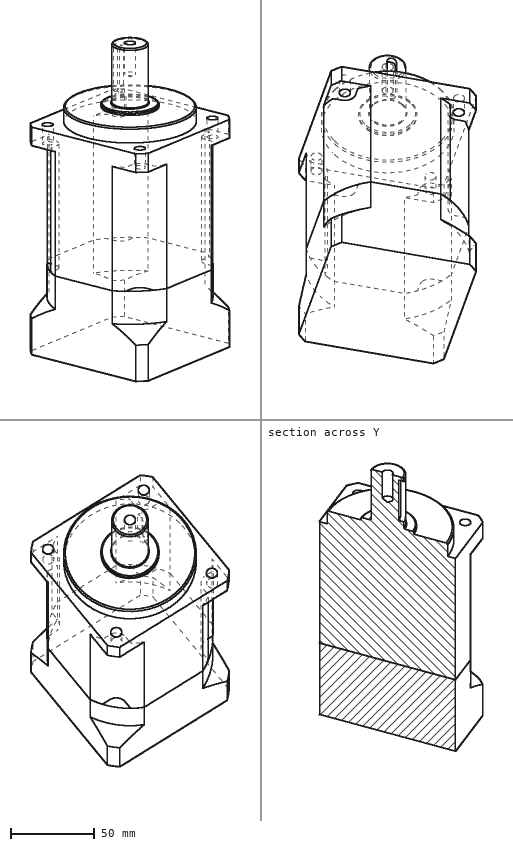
import cadquery as cq
import math

total_height = 195.0
side = 90.0
corner_radius = 60.0

base_corner_height = 23.2
neck_bottom = 33.0
adapter_height = 54.0
neck_flat_width = 43.5
neck_radius = math.hypot(side, neck_flat_width) / 2

flange_top = 145.0
flange_thickness = 11.9
bolt_circle_radius = neck_radius
bolt_hole_diameter = 6.6
bolt_relief_radius = 6.6
relief_lip_fillet = 1.5

pilot_diameter = 80.0
pilot_height = 9.8
pilot_chamfer = 1.0
seal_diameter = 35.1
seal_height = 2.0
seal_chamfer = 0.8
collar_diameter = 23.0
collar_height = 0.5

shaft_diameter = 22.0
shaft_chamfer = 1.0
keyway_width = 5.8
keyway_bottom = 162.0
keyway_top = 192.0
keyway_depth = 3.5
centre_hole_diameter = 6.6
centre_hole_depth = 19.5
drill_point_angle = 118.0

pilot_top = flange_top + pilot_height
seal_top = pilot_top + seal_height
bolt_offset = bolt_circle_radius / math.sqrt(2)


def disc(diameter, bottom, height):
    """Upright cylinder on the Z axis."""
    return cq.Workplane("XY").workplane(offset=bottom).circle(diameter / 2).extrude(height)


def trimmed_square(radius, bottom, height):
    """Square block whose four corners are rounded off about the Z axis."""
    block = cq.Workplane("XY").workplane(offset=bottom).rect(side, side).extrude(height)
    return block.intersect(disc(2 * radius, bottom, height))


def make_adapter():
    """Square base whose corners taper conically up to a narrower neck."""
    round_envelope = (
        cq.Workplane("XZ")
        .moveTo(0, 0)
        .lineTo(corner_radius, 0)
        .lineTo(corner_radius, base_corner_height)
        .lineTo(neck_radius, neck_bottom)
        .lineTo(neck_radius, adapter_height)
        .lineTo(0, adapter_height)
        .close()
        .revolve(360, (0, 0), (0, 1))
    )
    block = cq.Workplane("XY").rect(side, side).extrude(adapter_height)
    return block.intersect(round_envelope)


def make_bolt_relief(height):
    """Corner relief open towards +X and +Y, with a quarter round about the bolt axis."""
    inner = bolt_offset - bolt_relief_radius
    arc_shift = bolt_relief_radius / math.sqrt(2)
    outer = side / 2
    return (
        cq.Workplane("XY")
        .workplane(offset=adapter_height)
        .moveTo(inner, outer)
        .lineTo(inner, bolt_offset)
        .threePointArc((bolt_offset - arc_shift, bolt_offset - arc_shift), (bolt_offset, inner))
        .lineTo(outer, inner)
        .lineTo(outer, outer)
        .close()
        .extrude(height)
    )


def round_relief_lips(case, middle_height):
    """Fillet the two upright edges where each corner relief meets the neck round."""
    near = bolt_offset - bolt_relief_radius
    far = math.sqrt(neck_radius**2 - near**2)
    for x_sign in (-1, 1):
        for y_sign in (-1, 1):
            for x, y in ((near, far), (far, near)):
                lip = cq.selectors.NearestToPointSelector((x_sign * x, y_sign * y, middle_height))
                case = case.edges("|Z").edges(lip).fillet(relief_lip_fillet)
    return case


def make_gear_case():
    """Case with a relief in each corner, below the mounting flange with its bolt holes."""
    flange_bottom = flange_top - flange_thickness
    case_height = flange_bottom - adapter_height
    case = trimmed_square(neck_radius, adapter_height, case_height)
    relief = make_bolt_relief(case_height)
    for corner in range(4):
        case = case.cut(relief.rotate((0, 0, 0), (0, 0, 1), 90 * corner))
    case = round_relief_lips(case, adapter_height + case_height / 2)

    flange = (
        trimmed_square(corner_radius, flange_bottom, flange_thickness)
        .faces(">Z")
        .workplane(origin=(0, 0, flange_top))
        .rect(2 * bolt_offset, 2 * bolt_offset, forConstruction=True)
        .vertices()
        .hole(bolt_hole_diameter)
    )
    return case.union(flange)


def make_nose():
    """Centring pilot, seal ring and shaft collar stacked on the flange."""
    pilot = disc(pilot_diameter, flange_top, pilot_height).faces(">Z").chamfer(pilot_chamfer)
    seal = disc(seal_diameter, pilot_top, seal_height).faces(">Z").chamfer(seal_chamfer)
    collar = disc(collar_diameter, seal_top, collar_height)
    return pilot.union(seal).union(collar)


def make_shaft():
    """Output shaft with a keyway on its -X side and a drilled hole in its end."""
    shaft = disc(shaft_diameter, seal_top, total_height - seal_top).faces(">Z").chamfer(shaft_chamfer)

    keyway = (
        cq.Workplane("YZ")
        .workplane(offset=-shaft_diameter / 2)
        .center(0, (keyway_bottom + keyway_top) / 2)
        .slot2D(keyway_top - keyway_bottom, keyway_width, 90)
        .extrude(keyway_depth)
    )

    hole_radius = centre_hole_diameter / 2
    hole_bottom = total_height - centre_hole_depth
    point_depth = hole_radius / math.tan(math.radians(drill_point_angle / 2))
    centre_hole = (
        cq.Workplane("XZ")
        .moveTo(0, total_height)
        .lineTo(hole_radius, total_height)
        .lineTo(hole_radius, hole_bottom)
        .lineTo(0, hole_bottom - point_depth)
        .close()
        .revolve(360, (0, 0), (0, 1))
    )
    return shaft.cut(keyway).cut(centre_hole)


adapter = make_adapter()
gearbox = make_gear_case().union(make_nose()).union(make_shaft())

result = cq.Compound.makeCompound([adapter.val(), gearbox.val()])